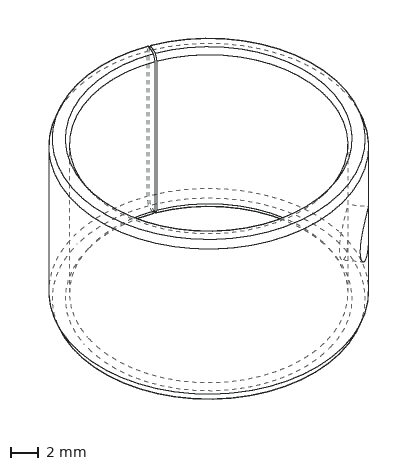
import cadquery as cq
import math

outer_diameter = 23.0
inner_diameter = 20.0
length = 15.0
outer_chamfer_height = 0.7
outer_chamfer_angle = 20.0
inner_chamfer_height = 0.5
inner_chamfer_depth = 0.3
slit_width = 0.15
oil_hole_diameter = 4.0
oil_hole_angle = 59.0

outer_radius = outer_diameter / 2
inner_radius = inner_diameter / 2
outer_chamfer_depth = outer_chamfer_height * math.tan(math.radians(outer_chamfer_angle))


def make_sleeve():
    """Revolve the wall section, with a chamfer on each of its four corners."""
    section = (
        cq.Workplane("XZ")
        .moveTo(inner_radius + inner_chamfer_depth, 0)
        .lineTo(outer_radius - outer_chamfer_depth, 0)
        .lineTo(outer_radius, outer_chamfer_height)
        .lineTo(outer_radius, length - outer_chamfer_height)
        .lineTo(outer_radius - outer_chamfer_depth, length)
        .lineTo(inner_radius + inner_chamfer_depth, length)
        .lineTo(inner_radius, length - inner_chamfer_height)
        .lineTo(inner_radius, inner_chamfer_height)
        .close()
    )
    return section.revolve(360, (0, 0, 0), (0, 1, 0))


def make_slit():
    """Full-length gap through the wall on the -X side."""
    return cq.Workplane("XY").box(
        outer_radius, slit_width, length, centered=(False, True, False)
    ).translate((-outer_radius, 0, 0))


def make_oil_hole():
    """Radial hole at mid-length through one side of the wall."""
    return (
        cq.Workplane("YZ")
        .center(0, length / 2)
        .circle(oil_hole_diameter / 2)
        .extrude(outer_radius)
        .rotate((0, 0, 0), (0, 0, 1), oil_hole_angle)
    )


result = make_sleeve().cut(make_slit()).cut(make_oil_hole())